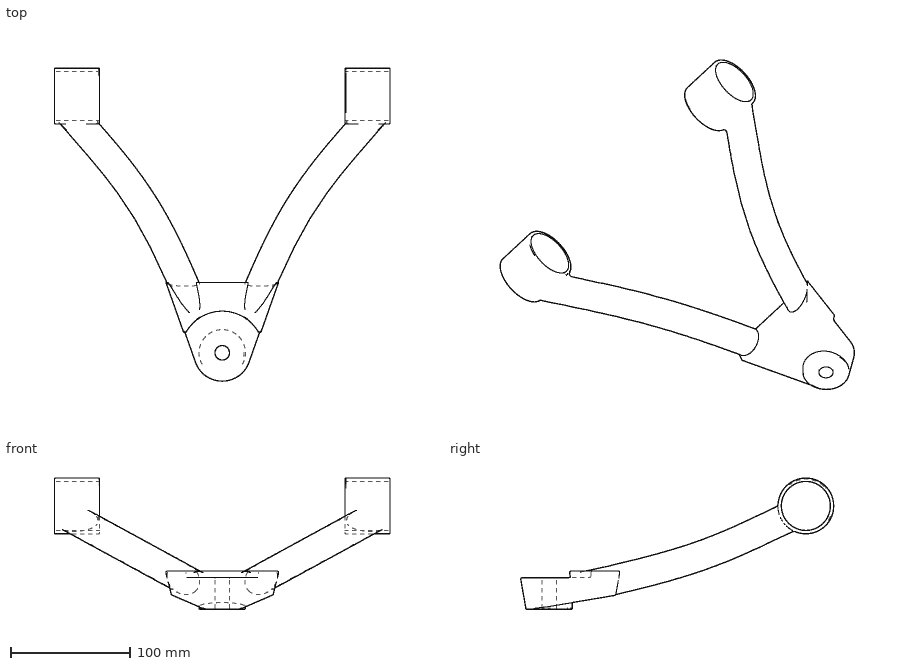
import cadquery as cq
import math

HOLE_DIAMETER = 12.0
FOOT_RADIUS = 19.5
FOOT_HEIGHT = 13.0
FOOT_FILLET = 1.2
BLOCK_HEIGHT = 32.5
BLOCK_BACK_Y = 59.5
BLOCK_FILLET = 1.5
UNDERSIDE_FILLET = 1.2
NOSE_HEIGHT = 26.8
NOSE_CUT_RADIUS = 35.0
FLANK_ANGLE = math.radians(19.5)
DRAFT_ANGLE = 10.0
UNDERSIDE_ANGLE = math.radians(9.5)
UNDERSIDE_Z = 2.5

OVERALL_WIDTH = 282.0
OVERALL_HEIGHT = 110.5
SLEEVE_WIDTH = 38.0
SLEEVE_OUTER_DIAMETER = 47.0
SLEEVE_BORE_DIAMETER = 41.0
SLEEVE_FILLET = 1.0
SLEEVE_Y = 215.63
SLEEVE_Z = OVERALL_HEIGHT - SLEEVE_OUTER_DIAMETER / 2

ARM_DIAMETER = 25.0
ARM_TILT = math.radians(28.6)
ARM_PLANE_Z = 8.0
ARM_POINTS = [
    (22.6, 27.0),
    (48.3, 80.0),
    (72.4, 120.0),
    (104.9, 160.0),
    (144.0, 200.0),
    (153.5, 210.0),
]
ARM_CLEARANCE = 0.05
SLEEVE_JOINT_FILLET = 2.5

OVERSIZE = 200.0
EDGE_TOLERANCE = 0.01


def make_drafted_wedge():
    """Round-nosed wedge, drawn at its top face and tapering inwards downwards."""
    nose_radius = FOOT_RADIUS + BLOCK_HEIGHT * math.tan(math.radians(DRAFT_ANGLE))
    tangent_x = nose_radius * math.cos(FLANK_ANGLE)
    tangent_y = -nose_radius * math.sin(FLANK_ANGLE)
    back_x = tangent_x + (BLOCK_BACK_Y - tangent_y) * math.tan(FLANK_ANGLE)
    return (
        cq.Workplane("XY", origin=(0, 0, BLOCK_HEIGHT))
        .moveTo(-back_x, BLOCK_BACK_Y)
        .lineTo(-tangent_x, tangent_y)
        .threePointArc((0, -nose_radius), (tangent_x, tangent_y))
        .lineTo(back_x, BLOCK_BACK_Y)
        .close()
        .extrude(-BLOCK_HEIGHT, taper=DRAFT_ANGLE)
    )


def make_underside_cutter():
    """Space below the sloping underside, which rises from the nose towards the back."""
    rise = OVERSIZE * math.tan(UNDERSIDE_ANGLE)
    return (
        cq.Workplane("YZ")
        .moveTo(-OVERSIZE, -OVERSIZE)
        .lineTo(OVERSIZE, -OVERSIZE)
        .lineTo(OVERSIZE, UNDERSIDE_Z + rise)
        .lineTo(-OVERSIZE, UNDERSIDE_Z - rise)
        .close()
        .extrude(OVERSIZE, both=True)
    )


def make_nose_cutter():
    """Round space above the lowered nose."""
    return cq.Workplane("XY", origin=(0, 0, NOSE_HEIGHT)).circle(NOSE_CUT_RADIUS).extrude(OVERSIZE)


def make_foot():
    """Round foot under the ball-joint hole."""
    foot = cq.Workplane("XY").circle(FOOT_RADIUS).extrude(FOOT_HEIGHT)
    return foot.faces("<Z").edges().fillet(FOOT_FILLET)


def make_arm():
    """Curved round bar on the +X side, trimmed where it would leave the block or the sleeve."""
    plane = cq.Plane(
        origin=(0, 0, ARM_PLANE_Z),
        xDir=(math.cos(ARM_TILT), 0, math.sin(ARM_TILT)),
        normal=(-math.sin(ARM_TILT), 0, math.cos(ARM_TILT)),
    )
    path = cq.Workplane(plane).spline(ARM_POINTS)
    centre_line = path.val()
    start = cq.Plane(origin=centre_line.positionAt(0), normal=centre_line.tangentAt(0))
    arm = cq.Workplane(start).circle(ARM_DIAMETER / 2).sweep(path)
    arm = arm.cut(make_nose_cutter()).cut(make_underside_cutter())
    reach = OVERALL_WIDTH - 2 * (SLEEVE_FILLET + ARM_CLEARANCE)
    return arm.intersect(cq.Workplane("XY").box(reach, 2 * OVERALL_WIDTH, 2 * OVERALL_WIDTH))


def make_sleeve_cylinder(diameter):
    """Cylinder as wide as the +X sleeve, on its axis."""
    return (
        cq.Workplane("YZ", origin=(OVERALL_WIDTH / 2 - SLEEVE_WIDTH, SLEEVE_Y, SLEEVE_Z))
        .circle(diameter / 2)
        .extrude(SLEEVE_WIDTH)
    )


def make_side():
    """The +X arm blended into its bored sleeve."""
    sleeve = make_sleeve_cylinder(SLEEVE_OUTER_DIAMETER)
    sleeve = sleeve.faces("<X or >X").edges().fillet(SLEEVE_FILLET)
    side = sleeve.union(make_arm()).cut(make_sleeve_cylinder(SLEEVE_BORE_DIAMETER))
    front_half = cq.selectors.BoxSelector(
        (0, SLEEVE_Y - SLEEVE_OUTER_DIAMETER, 0),
        (OVERALL_WIDTH, SLEEVE_Y, OVERALL_HEIGHT),
    )
    joint = side.edges("%BSPLINE").edges(front_half)
    return joint.fillet(SLEEVE_JOINT_FILLET)


def edges_between(low_z, high_z):
    """Selector for edges whose centres lie between two heights."""
    return cq.selectors.BoxSelector((-OVERSIZE, -OVERSIZE, low_z), (OVERSIZE, OVERSIZE, high_z))


def make_block():
    """Wedge with a sloping underside, a round foot and a lowered nose, all edges rounded."""
    block = make_drafted_wedge().cut(make_underside_cutter())
    block = block.edges(edges_between(-FOOT_HEIGHT, FOOT_HEIGHT)).fillet(UNDERSIDE_FILLET)
    block = block.union(make_foot()).cut(make_nose_cutter())
    return block.edges(edges_between(NOSE_HEIGHT - EDGE_TOLERANCE, OVERSIZE)).fillet(BLOCK_FILLET)


side = make_side()
body = make_block().union(side).union(side.mirror("YZ"))
ball_joint_hole = cq.Workplane("XY").circle(HOLE_DIAMETER / 2).extrude(BLOCK_HEIGHT)
result = body.cut(ball_joint_hole)